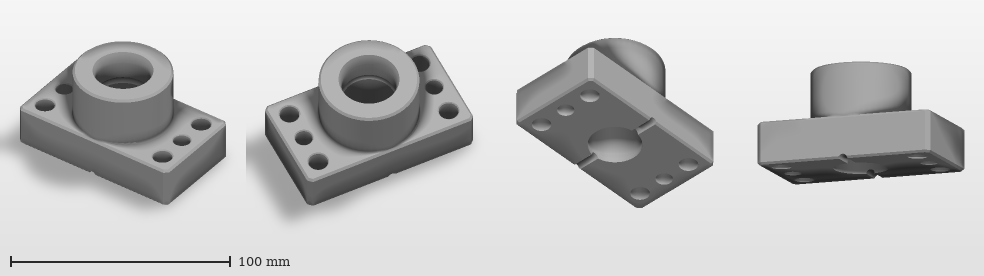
import cadquery as cq
import math

base_length = 84.0
base_depth = 48.0
base_height = 20.0
corner_chamfer = 2.0
edge_chamfer = 1.0

total_height = 45.0
boss_edge_gap = 0.01
boss_radius = base_depth / 2 - edge_chamfer - boss_edge_gap
boss_chamfer = 1.0
root_fillet = 1.0

bore_radius = 25.0 / 2
lead_in_depth = 5.0
lead_in_radius = 10.0
ring_groove_z = total_height * 2 / 3
ring_groove_radius = 2.0
ring_groove_depth = 0.8

hole_spacing_x = 66.0
hole_spacing_y = 30.0
screw_hole_diameter = 9.0
dowel_hole_diameter = 8.0
hole_chamfer = 0.5

channel_radius = 2.0


def make_base():
    block = cq.Workplane("XY").rect(base_length, base_depth).extrude(base_height)
    block = block.edges("|Z").chamfer(corner_chamfer)
    return block.faces("<Z or >Z").edges().chamfer(edge_chamfer)


def make_boss():
    boss = cq.Workplane("XY").circle(boss_radius).extrude(total_height)
    return boss.faces(">Z").edges().chamfer(boss_chamfer)


def blend_boss_root(body):
    """Fillet the circle where the boss wall meets the base top."""
    margin = 0.1
    reach = boss_radius + margin
    low = (-reach, -reach, base_height - margin)
    high = (reach, reach, base_height + margin)
    root_edge = body.edges(cq.selectors.BoxSelector(low, high, boundingbox=True))
    return root_edge.fillet(root_fillet)


def make_bore():
    """Revolved bore; the lead-in arc is tangent to the bore wall."""

    def lead_in_offset(depth):
        return lead_in_radius - math.sqrt(lead_in_radius**2 - depth**2)

    groove_centre_inset = ring_groove_radius - ring_groove_depth
    groove_half_width = math.sqrt(ring_groove_radius**2 - groove_centre_inset**2)

    lead_in_start = total_height - lead_in_depth
    mouth_radius = bore_radius + lead_in_offset(lead_in_depth)
    middle_radius = bore_radius + lead_in_offset(lead_in_depth / 2)
    return (
        cq.Workplane("XZ")
        .lineTo(bore_radius, 0)
        .lineTo(bore_radius, ring_groove_z - groove_half_width)
        .threePointArc(
            (bore_radius + ring_groove_depth, ring_groove_z),
            (bore_radius, ring_groove_z + groove_half_width),
        )
        .lineTo(bore_radius, lead_in_start)
        .threePointArc(
            (middle_radius, lead_in_start + lead_in_depth / 2),
            (mouth_radius, total_height),
        )
        .lineTo(0, total_height)
        .close()
        .revolve(360, (0, 0, 0), (0, 1, 0))
    )


def make_mounting_hole(x, y, diameter):
    hole = cq.Workplane("XY").center(x, y).circle(diameter / 2).extrude(base_height)
    mouth = (
        cq.Workplane("XY", origin=(x, y, base_height))
        .circle(diameter / 2 + hole_chamfer)
        .extrude(-hole_chamfer, taper=45)
    )
    return hole.union(mouth)


def make_channel():
    return cq.Workplane("XZ").circle(channel_radius).extrude(base_depth / 2, both=True)


result = blend_boss_root(make_base().union(make_boss()))
result = result.cut(make_bore()).cut(make_channel())

for side in (-1, 1):
    for row in (-1, 0, 1):
        diameter = dowel_hole_diameter if row == 0 else screw_hole_diameter
        hole = make_mounting_hole(side * hole_spacing_x / 2, row * hole_spacing_y / 2, diameter)
        result = result.cut(hole)